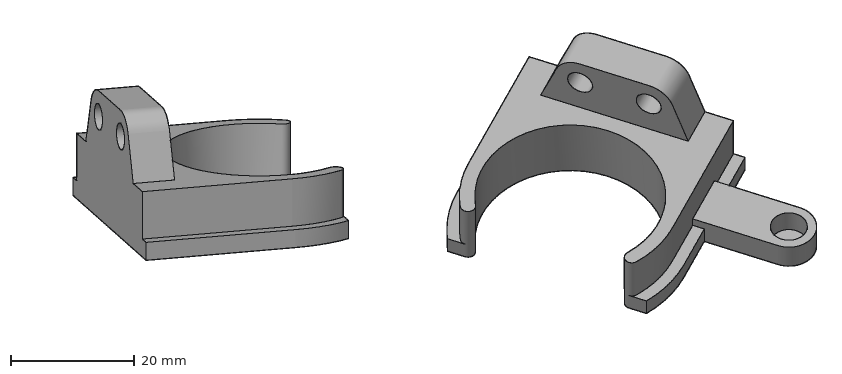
import cadquery as cq
import math

total_length = 57.5
total_depth = 35.15
total_height = 21.5
base_width = 40.0
base_height = 3.05
body_width = 35.95
body_height = 11.05

bore_radius = 15.45
bore_y = 25.4

lug_thickness = 7.0
lug_foot_width = 25.95
lug_hole_diameter = 4.35
lug_hole_spacing = 12.1
lug_hole_z = 17.1

arm_width = 9.0
arm_height = 4.6
arm_y = 12.5
arm_hole_diameter = 6.0
arm_hole_floor = 0.6

tip_radius = (body_width / 2 - bore_radius) / 2
tip_path_radius = bore_radius + tip_radius
tip_y = total_depth - tip_radius
tip_x = math.sqrt(tip_path_radius**2 - (tip_y - bore_y) ** 2)
tip_scale_in = bore_radius / tip_path_radius
tip_scale_out = body_width / 2 / tip_path_radius


def tip_corner(scale):
    """Point on the right tip's radial line, scaled from the bore centre."""
    return (tip_x * scale, bore_y + (tip_y - bore_y) * scale)


def mirrored(point):
    return (-point[0], point[1])


def make_base():
    """Flange with arms cut off flat at the back and rounded on the inside."""
    outer_radius = base_width / 2
    back_rise = total_depth - bore_y
    back_x = math.sqrt(outer_radius**2 - back_rise**2)
    half_angle = math.asin(back_rise / outer_radius) / 2
    arc_middle = (outer_radius * math.cos(half_angle), bore_y + outer_radius * math.sin(half_angle))
    inner = tip_corner(tip_scale_in)
    inward_angle = math.atan2(bore_y - tip_y, -tip_x) + 2 * math.pi
    middle_angle = (math.pi / 2 + inward_angle) / 2
    tip_middle = (tip_x + tip_radius * math.cos(middle_angle), tip_y + tip_radius * math.sin(middle_angle))
    return (
        cq.Workplane("XY")
        .moveTo(-outer_radius, 0)
        .lineTo(outer_radius, 0)
        .lineTo(outer_radius, bore_y)
        .threePointArc(arc_middle, (back_x, total_depth))
        .lineTo(tip_x, total_depth)
        .threePointArc(tip_middle, inner)
        .threePointArc((0, bore_y - bore_radius), mirrored(inner))
        .threePointArc(mirrored(tip_middle), (-tip_x, total_depth))
        .lineTo(-back_x, total_depth)
        .threePointArc(mirrored(arc_middle), (-outer_radius, bore_y))
        .close()
        .extrude(base_height)
    )


def make_body():
    """Full-height clip whose arms end in round tips."""
    outer_radius = body_width / 2
    half_angle = math.atan2(tip_y - bore_y, tip_x) / 2
    arc_middle = (outer_radius * math.cos(half_angle), bore_y + outer_radius * math.sin(half_angle))
    inner = tip_corner(tip_scale_in)
    outer = tip_corner(tip_scale_out)
    tip_end = (
        tip_x - tip_radius * (tip_y - bore_y) / tip_path_radius,
        tip_y + tip_radius * tip_x / tip_path_radius,
    )
    return (
        cq.Workplane("XY")
        .moveTo(-outer_radius, 0)
        .lineTo(outer_radius, 0)
        .lineTo(outer_radius, bore_y)
        .threePointArc(arc_middle, outer)
        .threePointArc(tip_end, inner)
        .threePointArc((0, bore_y - bore_radius), mirrored(inner))
        .threePointArc(mirrored(tip_end), mirrored(outer))
        .threePointArc(mirrored(arc_middle), (-outer_radius, bore_y))
        .close()
        .extrude(body_height)
    )


def make_lug():
    """Tapered lug with corners concentric with its two holes."""
    hole_x = lug_hole_spacing / 2
    foot_x = lug_foot_width / 2
    corner_radius = total_height - lug_hole_z
    run = foot_x - hole_x
    drop = lug_hole_z - body_height
    tangent_angle = math.acos(corner_radius / math.hypot(run, drop)) - math.atan2(drop, run)
    middle_angle = (tangent_angle + math.pi / 2) / 2

    def corner_point(angle):
        return (hole_x + corner_radius * math.cos(angle), lug_hole_z + corner_radius * math.sin(angle))

    side_end = corner_point(tangent_angle)
    corner_middle = corner_point(middle_angle)
    lug = (
        cq.Workplane("XZ")
        .moveTo(-foot_x, body_height)
        .lineTo(foot_x, body_height)
        .lineTo(*side_end)
        .threePointArc(corner_middle, (hole_x, total_height))
        .lineTo(-hole_x, total_height)
        .threePointArc(mirrored(corner_middle), mirrored(side_end))
        .close()
        .extrude(-lug_thickness)
    )
    holes = (
        cq.Workplane("XZ")
        .pushPoints([(-hole_x, lug_hole_z), (hole_x, lug_hole_z)])
        .circle(lug_hole_diameter / 2)
        .extrude(-lug_thickness)
    )
    return lug.cut(holes)


def make_arm():
    """Round-ended arm reaching from the body side, with a blind hole from above."""
    end_x = base_width / 2 - total_length + arm_width / 2
    root_x = -body_width / 2
    bar = (
        cq.Workplane("XY")
        .center((end_x + root_x) / 2, arm_y)
        .rect(root_x - end_x, arm_width)
        .extrude(arm_height)
    )
    round_end = cq.Workplane("XY").center(end_x, arm_y).circle(arm_width / 2).extrude(arm_height)
    hole = (
        cq.Workplane("XY", origin=(end_x, arm_y, arm_hole_floor))
        .circle(arm_hole_diameter / 2)
        .extrude(arm_height - arm_hole_floor)
    )
    return bar.union(round_end).cut(hole)


result = make_base().union(make_body()).union(make_lug()).union(make_arm())